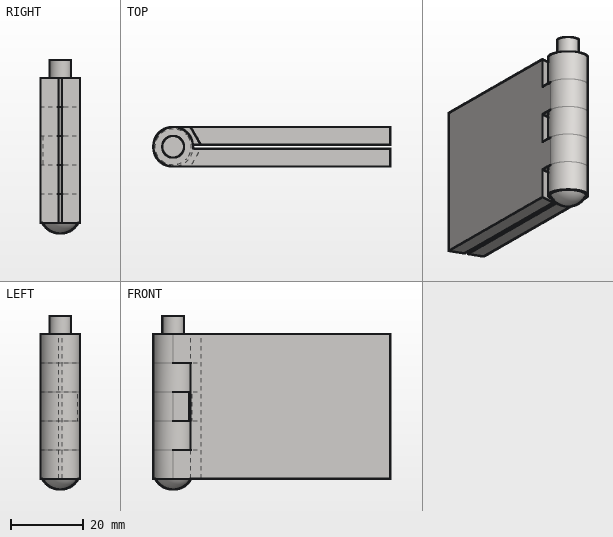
import cadquery as cq

length = 65.5
barrel_radius = 5.5
knuckle_count = 5
leaf_height = 40.0
leaf_gap = 1.05
relief_outer_x = 10.3
relief_inner_x = 13.15
groove_width = 0.3
groove_depth = 0.7
pin_diameter = 6.0
pin_projection = 5.0
head_radius = 5.0
head_height = 3.0

axis_x = barrel_radius
barrel_end_x = 2 * barrel_radius
knuckle_height = leaf_height / knuckle_count
middle_knuckle = knuckle_count // 2
gap_radius = leaf_gap / 2
gap_end_x = barrel_end_x + gap_radius
relief_slope = (relief_inner_x - relief_outer_x) / (barrel_radius - gap_radius)

front = -1
rear = 1


def knuckle_plane(index):
    """Workplane at the bottom of a knuckle, counted upward from the lowest one."""
    return cq.Workplane("XY", origin=(0, 0, index * knuckle_height))


def make_relief(index, side):
    """Space with a slanted end, cleared from a leaf beside the other leaf's knuckle."""
    outline = [
        (0, side * barrel_radius),
        (relief_outer_x, side * barrel_radius),
        (relief_inner_x, side * gap_radius),
        (gap_end_x, side * gap_radius),
        (gap_end_x, -side * barrel_radius),
        (0, -side * barrel_radius),
    ]
    return knuckle_plane(index).polyline(outline).close().extrude(knuckle_height)


def make_leaf(side):
    """Full-height plate, tangent to the barrel, whose gap ends in a quarter round."""
    return (
        cq.Workplane("XY")
        .moveTo(axis_x, side * barrel_radius)
        .lineTo(length, side * barrel_radius)
        .lineTo(length, side * gap_radius)
        .lineTo(gap_end_x, side * gap_radius)
        .radiusArc((barrel_end_x, 0), -side * gap_radius)
        .radiusArc((axis_x, -side * barrel_radius), side * barrel_radius)
        .threePointArc((0, 0), (axis_x, side * barrel_radius))
        .close()
        .extrude(leaf_height)
    )


def make_groove():
    """Narrow undercut groove between the middle front knuckle and its plate."""
    depth_y = -barrel_radius + groove_depth
    outline = [
        (relief_outer_x - groove_width, -barrel_radius),
        (relief_outer_x, -barrel_radius),
        (relief_outer_x + relief_slope * groove_depth, depth_y),
    ]
    return knuckle_plane(middle_knuckle).polyline(outline).close().extrude(knuckle_height)


def make_head():
    """Spherical cap below the barrel."""
    sphere_radius = (head_radius**2 + head_height**2) / (2 * head_height)
    profile = (
        cq.Workplane("XZ")
        .moveTo(0, 0)
        .lineTo(head_radius, 0)
        .radiusArc((0, -head_height), sphere_radius)
        .close()
    )
    return profile.revolve(360, (0, 0, 0), (0, 1, 0)).translate((axis_x, 0, 0))


front_leaf = make_leaf(front).cut(make_groove())
rear_leaf = make_leaf(rear)
for knuckle in range(knuckle_count):
    if knuckle % 2 == 0:
        rear_leaf = rear_leaf.cut(make_relief(knuckle, rear))
    else:
        front_leaf = front_leaf.cut(make_relief(knuckle, front))

pin_length = leaf_height + pin_projection
pin = cq.Workplane("XY").center(axis_x, 0).circle(pin_diameter / 2).extrude(pin_length)

result = front_leaf
for component in (rear_leaf, pin, make_head()):
    result = result.union(component, clean=False)